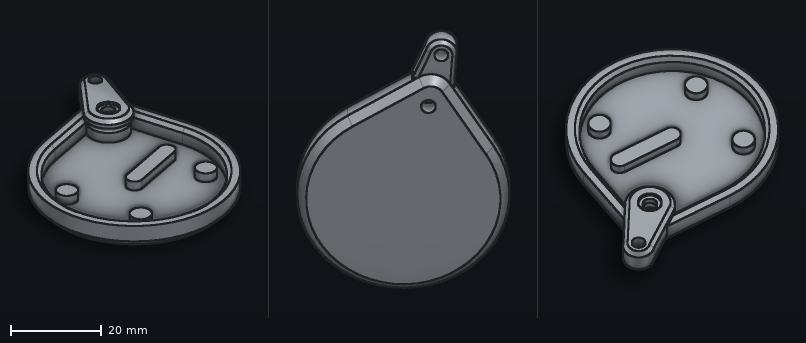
import cadquery as cq
import math


dish_radius = 23.5
dish_height = 6.0
base_chamfer = 2.0
floor_top = 2.0
corner_radius = 5.0
wall_thickness = 2.95
cavity_chamfer = 1.0
cavity_half = dish_radius - wall_thickness

stud_height = 2.25
peg_diameter = 5.0
peg_centers = [(11.4, 11.75), (-9.95, -12.35), (9.2, -12.35)]
rib_width = 4.0
rib_length = 17.7
rib_center_y = 7.0

pivot_offset = 17.0
pivot = (-pivot_offset, pivot_offset)
boss_radius = 5.0
boss_top = 4.5
pivot_hole_diameter = 3.2
counterbore_diameter = 5.2
counterbore_depth = 0.65

arm_bottom = base_chamfer
arm_top = 8.0
arm_chamfer = 1.0
arm_head_radius = 5.55
arm_tip_radius = 3.45
tip_offset = 25.6
tip_hole_diameter = 3.0
tip = (-tip_offset, tip_offset)


def teardrop(half_size, height, bottom, taper=0):
    """Disc with one square corner at -X, +Y; a negative taper widens it upwards."""
    return (
        cq.Workplane("XY", origin=(0, 0, bottom))
        .moveTo(-half_size, 0)
        .lineTo(-half_size, half_size)
        .lineTo(0, half_size)
        .threePointArc((half_size / math.sqrt(2), -half_size / math.sqrt(2)), (-half_size, 0))
        .close()
        .extrude(height, taper=taper)
    )


def cylinder(center, diameter, bottom, top):
    return (
        cq.Workplane("XY", origin=(*center, bottom))
        .circle(diameter / 2)
        .extrude(top - bottom)
    )


def make_envelope():
    """Outside of the dish as a full block, with the corner rounded and the base chamfered."""
    block = teardrop(dish_radius, dish_height, 0)
    corner = cq.selectors.NearestToPointSelector((-dish_radius, dish_radius, dish_height / 2))
    return block.edges("|Z").edges(corner).fillet(corner_radius).faces("<Z").chamfer(base_chamfer)


def make_dish(envelope):
    bevel_bottom = dish_height - cavity_chamfer
    cavity = teardrop(cavity_half, dish_height - floor_top, floor_top)
    bevel = teardrop(cavity_half, cavity_chamfer, bevel_bottom, taper=-45)
    boss = cylinder(pivot, 2 * boss_radius, floor_top, boss_top)
    dish = envelope.cut(cavity).cut(bevel).union(boss.intersect(envelope))

    stud_top = floor_top + stud_height
    for center in peg_centers:
        dish = dish.union(cylinder(center, peg_diameter, floor_top, stud_top))
    rib = (
        cq.Workplane("XY", origin=(0, rib_center_y, floor_top))
        .slot2D(rib_length, rib_width, 90)
        .extrude(stud_height)
    )
    return dish.union(rib).cut(cylinder(pivot, pivot_hole_diameter, 0, boss_top))


def arm_layer(start, height, taper=0):
    """Arm outline extruded from the start level, upwards or, with a negative height, downwards."""
    axis_angle = math.radians(135)
    side_angle = math.pi / 2

    def rim_point(center, radius, turn):
        angle = axis_angle + turn
        return (center[0] + radius * math.cos(angle), center[1] + radius * math.sin(angle))

    return (
        cq.Workplane("XY", origin=(0, 0, start))
        .moveTo(*rim_point(pivot, arm_head_radius, side_angle))
        .lineTo(*rim_point(tip, arm_tip_radius, side_angle))
        .threePointArc(
            rim_point(tip, arm_tip_radius, 0),
            rim_point(tip, arm_tip_radius, -side_angle),
        )
        .lineTo(*rim_point(pivot, arm_head_radius, -side_angle))
        .threePointArc(
            rim_point(pivot, arm_head_radius, math.pi),
            rim_point(pivot, arm_head_radius, side_angle),
        )
        .close()
        .extrude(height, taper=taper)
    )


def make_arm(envelope):
    side_bottom = arm_bottom + arm_chamfer
    side_top = arm_top - arm_chamfer
    arm = (
        arm_layer(side_bottom, side_top - side_bottom)
        .union(arm_layer(side_top, arm_chamfer, taper=45))
        .union(arm_layer(side_bottom, -arm_chamfer, taper=45))
    )
    arm = arm.cut(envelope)
    tip_hole = cylinder(tip, tip_hole_diameter, arm_bottom, arm_top)
    pivot_hole = cylinder(pivot, pivot_hole_diameter, arm_bottom, arm_top)
    counterbore = cylinder(pivot, counterbore_diameter, arm_top - counterbore_depth, arm_top)
    return arm.cut(tip_hole).cut(pivot_hole).cut(counterbore)


dish_envelope = make_envelope()
dish = make_dish(dish_envelope)
arm = make_arm(dish_envelope)

result = cq.Compound.makeCompound([dish.val(), arm.val()])